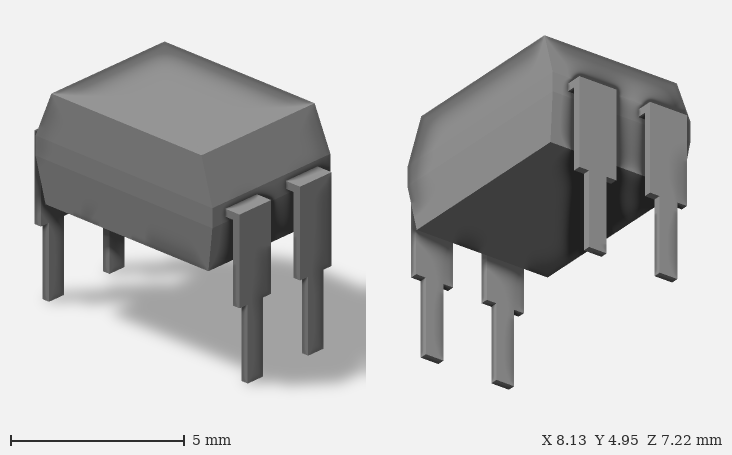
import cadquery as cq

overall_length = 8.13
overall_height = 7.22
band_length = 7.01
band_width = 4.95
band_bottom = 5.1
band_top = 5.74
top_length = 5.95
top_width = 4.75
base_length = 6.455
base_width = 4.7
base_level = 3.585

lead_pitch = 2.54
lead_thickness = 0.25
lead_top = 5.53
shoulder_width = 1.325
shoulder_level = 2.53
tip_width = 0.635

marker_diameter = 0.35
marker_depth = 0.04
marker_x = -2.09
marker_y = lead_pitch / 2


def tapered_block(start_level, start_size, end_level, end_size):
    """Block whose rectangular section changes evenly between two levels."""
    return (
        cq.Workplane("XY", origin=(0, 0, start_level))
        .rect(*start_size)
        .workplane(offset=end_level - start_level)
        .rect(*end_size)
        .loft(ruled=True)
    )


def make_marker():
    return (
        cq.Workplane("XY", origin=(marker_x, marker_y, overall_height - marker_depth))
        .circle(marker_diameter / 2)
        .extrude(marker_depth)
    )


def make_housing():
    band_size = (band_length, band_width)
    lower = tapered_block(base_level, (base_length, base_width), band_bottom, band_size)
    band = tapered_block(band_bottom, band_size, band_top, band_size)
    upper = tapered_block(band_top, band_size, overall_height, (top_length, top_width))
    return lower.union(band).union(upper).cut(make_marker())


def make_lead(side, y):
    """One lead; side is -1 or +1 along X. Its arm butts against the band."""
    outer_x = side * overall_length / 2
    inner_x = outer_x - side * lead_thickness
    band_x = side * band_length / 2
    arm_underside = lead_top - lead_thickness
    bent_strip = (
        cq.Workplane("XZ", origin=(0, y, 0))
        .moveTo(outer_x, shoulder_level)
        .lineTo(outer_x, lead_top)
        .lineTo(band_x, lead_top)
        .lineTo(band_x, arm_underside)
        .lineTo(inner_x, arm_underside)
        .lineTo(inner_x, shoulder_level)
        .close()
        .extrude(shoulder_width / 2, both=True)
    )
    tip = (
        cq.Workplane("XY", origin=((outer_x + inner_x) / 2, y, 0))
        .rect(lead_thickness, tip_width)
        .extrude(shoulder_level)
    )
    return bent_strip.union(tip)


housing = make_housing()
marker = make_marker()
leads = [
    make_lead(side, row * lead_pitch / 2)
    for side in (-1, 1)
    for row in (-1, 1)
]

result = cq.Compound.makeCompound(
    [housing.val(), marker.val(), *[lead.val() for lead in leads]]
)